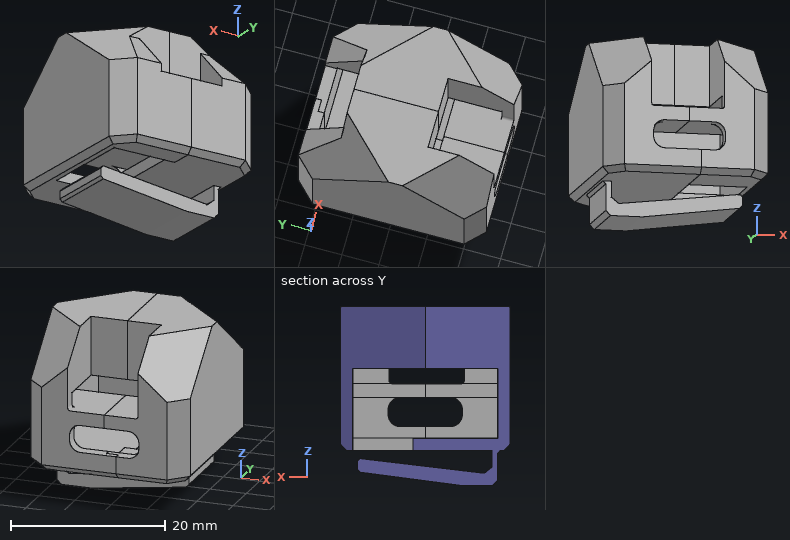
import cadquery as cq
import math


WIDTH = 22.05
DEPTH = 25.45
HEIGHT = 18.75
HALF_WIDTH = WIDTH / 2
FRONT_CORNER = 2.37
BACK_CORNER = 2.65
BOTTOM_CHAMFER = 0.81
SHOULDER_Z = 11.5
FRONT_CORNER_TOP = 10.67
BACK_CORNER_TOP = 12.88
BACK_STEP_DEPTH = 5.2

WALL = 1.63
HALF_WALL = WALL / 2
CAVITY_TOP = 10.65
INNER_HALF_WIDTH = HALF_WIDTH - WALL

SHELF_TOP = 8.7
SHELF_DEPTH = 8.17
NOTCH_RIGHT = 4.65
FRONT_NOTCH_LEFT = -5.05
FRONT_NOTCH_DEPTH = 8.89
FRONT_NOTCH_RADIUS = 0.38
BACK_NOTCH_LEFT = -4.75
BACK_NOTCH_BOTTOM = 10.41
PORT_WIDTH = 9.57
PORT_BOTTOM = 3.15
PORT_TOP = 6.87
PORT_RADIUS = 1.53
PORT_Z = (PORT_BOTTOM + PORT_TOP) / 2

CLIP_FRONT = 7.8
CLIP_WIDTH = 9.73
CLIP_BOTTOM = -4.53
LEG_OUTER = -9.4
LEG_INNER = -8.65
LEG_FLARE = 0.38
HEEL_CHAMFER = 0.64
ARM_FLAT_END = -4.5
ARM_TIP = 8.85
TIP_BOTTOM = -2.83
TIP_TOP = -1.0
TIP_CHAMFER = 0.38
ELBOW_X = -7.66
ELBOW_Z = -2.9
ELBOW_RISE = 0.81

WINDOW_FRONT = CLIP_FRONT
WINDOW_BACK = 21.5
LAP = 1.6


def box(x_range, y_range, z_range):
    """Box between the given limits."""
    size = [high - low for low, high in (x_range, y_range, z_range)]
    corner = (x_range[0], y_range[0], z_range[0])
    return cq.Workplane("XY").box(*size, centered=False).translate(corner)


def corner_slope(x_side, at_back, low_cut, high_cut):
    """Wedge above the shoulder that slopes one upper corner of the case."""
    inward_x = -x_side
    inward_y = -1 if at_back else 1
    corner = (x_side * HALF_WIDTH, DEPTH if at_back else 0, SHOULDER_Z)
    plane = cq.Plane(origin=corner, xDir=(inward_x, inward_y, 0), normal=(inward_y, -inward_x, 0))
    rise = HEIGHT - SHOULDER_Z
    low = low_cut / math.sqrt(2)
    high = high_cut / math.sqrt(2)
    profile = [(0, 0), (low, 0), (high, rise), (0, rise)]
    return cq.Workplane(plane).polyline(profile).close().extrude(DEPTH, both=True)


def outer_block():
    """Case without openings: cut corners, bottom chamfer and sloping upper faces."""
    outline = [
        (-HALF_WIDTH + FRONT_CORNER, 0),
        (HALF_WIDTH - FRONT_CORNER, 0),
        (HALF_WIDTH, FRONT_CORNER),
        (HALF_WIDTH, DEPTH - BACK_CORNER),
        (HALF_WIDTH - BACK_CORNER, DEPTH),
        (-HALF_WIDTH + BACK_CORNER, DEPTH),
        (-HALF_WIDTH, DEPTH - BACK_CORNER),
        (-HALF_WIDTH, FRONT_CORNER),
    ]
    block = cq.Workplane("XY").polyline(outline).close().extrude(HEIGHT)
    block = block.faces("<Z").chamfer(BOTTOM_CHAMFER)
    for x_side in (-1, 1):
        block = block.cut(corner_slope(x_side, False, FRONT_CORNER, FRONT_CORNER_TOP))
        block = block.cut(corner_slope(x_side, True, BACK_CORNER, BACK_CORNER_TOP))
    back_step = [
        (DEPTH, SHOULDER_Z),
        (DEPTH - BACK_STEP_DEPTH, SHOULDER_Z + BACK_STEP_DEPTH),
        (DEPTH - BACK_STEP_DEPTH, HEIGHT),
        (DEPTH, HEIGHT),
    ]
    return block.cut(cq.Workplane("YZ").polyline(back_step).close().extrude(WIDTH, both=True))


def cavity():
    """Inner room, with the shelf left standing behind the front wall."""
    inner_x = (-INNER_HALF_WIDTH, INNER_HALF_WIDTH)
    room = box(inner_x, (WALL, DEPTH - WALL), (WALL, CAVITY_TOP))
    shelf = box(inner_x, (WALL, SHELF_DEPTH), (PORT_TOP, SHELF_TOP))
    return room.cut(shelf)


def front_notch():
    """Tall notch in the front, open at the top, with rounded bottom corners."""
    notch = box((FRONT_NOTCH_LEFT, NOTCH_RIGHT), (0, FRONT_NOTCH_DEPTH), (SHELF_TOP, HEIGHT))
    return notch.edges("|Y and <Z").fillet(FRONT_NOTCH_RADIUS)


def back_notch():
    """Notch through the back step down to the top of the back wall."""
    y_range = (DEPTH - BACK_STEP_DEPTH, DEPTH)
    return box((BACK_NOTCH_LEFT, NOTCH_RIGHT), y_range, (BACK_NOTCH_BOTTOM, HEIGHT))


def front_port():
    """Rounded opening through the front wall below the shelf."""
    port = box((-PORT_WIDTH / 2, PORT_WIDTH / 2), (0, WALL), (PORT_BOTTOM, PORT_TOP))
    return port.edges("|Y").fillet(PORT_RADIUS)


def floor_window():
    """Opening in the floor above the free end of the clip."""
    return box((LAP, INNER_HALF_WIDTH), (WINDOW_FRONT, WINDOW_BACK), (0, WALL))


def left_space():
    """Room taken by the left half: all of X < 0, plus and minus the overlapping laps."""
    space = box((-HALF_WIDTH, 0), (0, DEPTH), (0, HEIGHT))
    lap_x = (0, LAP)
    front_wall_lap = box(lap_x, (0, HALF_WALL), (0, PORT_Z))
    floor_lap = box(lap_x, (0, WINDOW_FRONT), (0, HALF_WALL))
    floor_beside_window = box(lap_x, (WINDOW_FRONT, WINDOW_BACK), (0, WALL))
    back_lap_of_right_half = box(
        (-LAP, 0), (WINDOW_BACK, DEPTH - HALF_WALL), (HALF_WALL, BACK_NOTCH_BOTTOM)
    )
    space = space.union(front_wall_lap).union(floor_lap).union(floor_beside_window)
    return space.cut(back_lap_of_right_half)


def clip():
    """Bent spring arm hanging from the floor."""
    profile = [
        (LEG_OUTER - LEG_FLARE, 0),
        (LEG_OUTER, -LEG_FLARE),
        (LEG_OUTER, CLIP_BOTTOM + HEEL_CHAMFER),
        (LEG_OUTER + HEEL_CHAMFER, CLIP_BOTTOM),
        (ARM_FLAT_END, CLIP_BOTTOM),
        (ARM_TIP - TIP_CHAMFER, TIP_BOTTOM),
        (ARM_TIP, TIP_BOTTOM + TIP_CHAMFER),
        (ARM_TIP, TIP_TOP - TIP_CHAMFER),
        (ARM_TIP - TIP_CHAMFER, TIP_TOP),
        (ELBOW_X, ELBOW_Z),
        (LEG_INNER, ELBOW_Z + ELBOW_RISE),
        (LEG_INNER, 0),
    ]
    front = cq.Workplane("XZ", origin=(0, CLIP_FRONT, 0))
    return front.polyline(profile).close().extrude(-CLIP_WIDTH)


case = outer_block().cut(cavity())
for opening in (front_notch(), back_notch(), front_port(), floor_window()):
    case = case.cut(opening)

left_half = case.intersect(left_space()).union(clip())
right_half = case.cut(left_space())

result = cq.Compound.makeCompound([left_half.val(), right_half.val()])